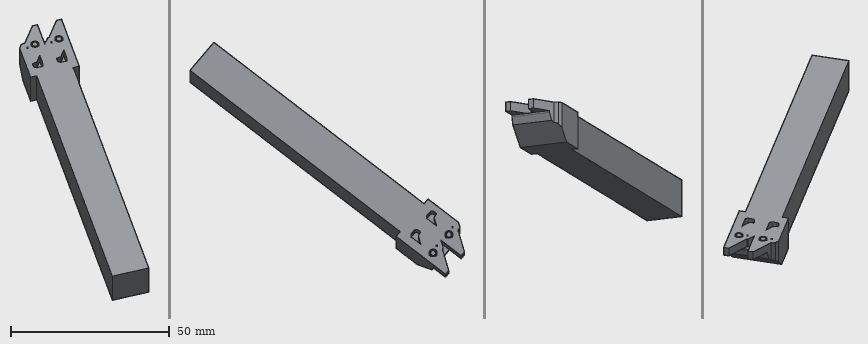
import cadquery as cq

total_length = 105.0
height = 12.0
shank_width = 12.0
head_length = 20.0
head_width = 16.0
half_head = head_width / 2

insert_pitch = 7.9
insert_thickness = 3.0
insert_width = 6.0
tip_width = 1.7
flank_end_x = 6.1
back_start_x = 8.2
nose_x = 14.6
nose_height = 1.5
insert_end_x = 14.9
back_slope = (insert_width - nose_height) / (nose_x - back_start_x)
seat_z = height - insert_thickness
insert_tops = [half_head, half_head - insert_pitch]

seat_front_x = 4.8
seat_lip_height = 0.5
relief_foot_x = 5.5
relief_foot_z = 5.9
underside_start_x = relief_foot_x + relief_foot_z
corner_arc_run = 0.4
corner_chamfer_run = 1.0
corner_chamfer_rise = 0.7

slot_end_x = 16.8
slot_width = 3.2
slot_corner_radius = 0.9

screw_x = 7.5
screw_drop = 3.0
screw_hole_radius = 1.3
screw_radius = 0.8
screw_gap_depth = 1.0
mark_x = 8.1
mark_edge_distance = 0.3
mark_radius = 0.2


def prism(points, bottom, top):
    """Straight vertical prism over a closed XY outline."""
    return cq.Workplane("XY", origin=(0, 0, bottom)).polyline(points).close().extrude(top - bottom)


def insert_outline(top_y):
    bottom_y = top_y - insert_width
    return [
        (0, top_y),
        (0, top_y - tip_width),
        (flank_end_x, bottom_y),
        (insert_end_x, bottom_y),
        (nose_x, bottom_y + nose_height),
        (back_start_x, top_y),
    ]


def make_head():
    """Head block with a relieved front, cut along the lower insert's flank."""
    profile = [
        (seat_front_x, height),
        (seat_front_x, seat_z - seat_lip_height),
        (relief_foot_x, relief_foot_z),
        (underside_start_x, 0),
        (head_length, 0),
        (head_length, height),
    ]
    block = cq.Workplane("XZ", origin=(0, half_head, 0)).polyline(profile).close().extrude(head_width)

    flank_end_y = insert_tops[1] - insert_width
    arc_end_x = flank_end_x + corner_arc_run
    arc_end_y = -half_head + corner_chamfer_rise
    arc_drop = flank_end_y - arc_end_y
    arc_radius = (corner_arc_run**2 + arc_drop**2) / (2 * corner_arc_run)
    envelope = (
        cq.Workplane("XY")
        .moveTo(0, half_head)
        .lineTo(0, insert_tops[1] - tip_width)
        .lineTo(flank_end_x, flank_end_y)
        .radiusArc((arc_end_x, arc_end_y), -arc_radius)
        .lineTo(arc_end_x + corner_chamfer_run, -half_head)
        .lineTo(head_length, -half_head)
        .lineTo(head_length, half_head)
        .close()
        .extrude(height)
    )
    return block.intersect(envelope)


def make_front_clearance():
    """Space above the seat, in front of the wall between the inserts."""
    lower_top_y = insert_tops[1]
    wall_y = lower_top_y + back_slope * (back_start_x - flank_end_x)
    outline = [
        (0, half_head),
        (0, lower_top_y),
        (back_start_x, lower_top_y),
        (flank_end_x, wall_y),
        (flank_end_x, half_head),
    ]
    return prism(outline, seat_z, height)


def make_slot(top_y):
    length = slot_end_x - flank_end_x
    center_x = flank_end_x + length / 2
    center_y = top_y - insert_width + slot_width / 2
    slot = cq.Workplane("XY").box(length, slot_width, insert_thickness, centered=(True, True, False))
    slot = slot.edges("|Z and >X").fillet(slot_corner_radius)
    return slot.translate((center_x, center_y, seat_z))


def make_screw_gap(top_y):
    gap = cq.Workplane("XY").circle(screw_hole_radius).circle(screw_radius).extrude(screw_gap_depth)
    return gap.translate((screw_x, top_y - screw_drop, height - screw_gap_depth))


def make_mark(top_y):
    mark_y = top_y - insert_width + mark_edge_distance
    mark = cq.Workplane("XY").circle(mark_radius).extrude(screw_gap_depth)
    return mark.translate((mark_x, mark_y, height - screw_gap_depth))


shank = cq.Workplane("XY").box(
    total_length - head_length, shank_width, height, centered=(False, True, False)
).translate((head_length, 0, 0))

result = make_head().cut(make_front_clearance())
for top_y in insert_tops:
    result = result.cut(make_slot(top_y))
for top_y in insert_tops:
    result = result.union(prism(insert_outline(top_y), seat_z, height))
    result = result.cut(make_screw_gap(top_y)).cut(make_mark(top_y))
result = result.union(shank)